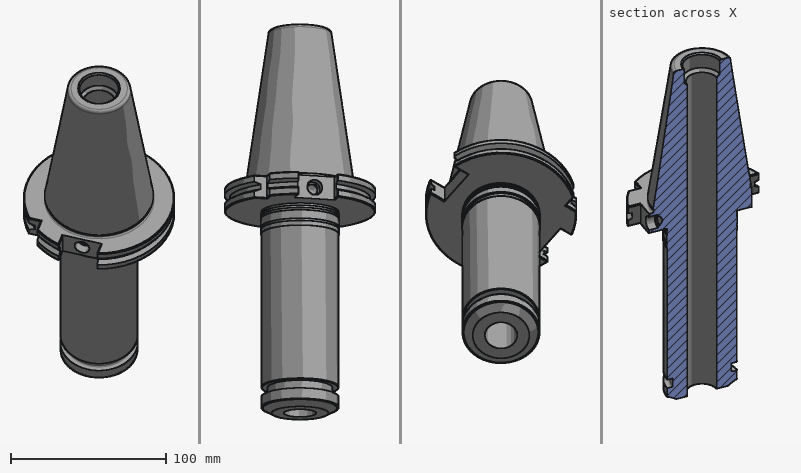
import cadquery as cq
import math

total_height = 253.5
gauge_height = 152.0
flange_top = gauge_height - 3.3
flange_bottom = gauge_height - 18.5

taper_bottom = gauge_height - 1.0
taper_base_diameter = 70.2
taper_ratio = 7 / 24
top_diameter = taper_base_diameter - taper_ratio * (total_height - taper_bottom)
top_fillet = 2.3
relief_diameter = 69.0
relief_fillet = 0.96

flange_diameter = 97.5
edge_chamfer = 0.63
match_tolerance = 0.03
groove_floor_diameter = 90.8
groove_floor_width = 3.0
groove_mouth_width = 6.3
groove_height = (flange_top + flange_bottom) / 2

slot_width = 25.5
front_slot_distance = 37.8
back_slot_distance = 35.5
notch_distance = 30.2

slot_hole_diameter = 7.0
slot_hole_counterbore_diameter = 10.0
slot_hole_counterbore_depth = 6.3
slot_hole_depth = 7.5
drill_point_angle = 118

shank_diameter = 50.0
ring_diameter = 50.5
ring_spans = [(130.4, 131.9), (123.2, 128.8), (118.7, 121.7)]

nose_groove_diameter = 42.0
nose_groove_bottom = 10.7
nose_groove_top = 16.7
nose_groove_fillet = 0.5
body_end_chamfer = 0.5
nose_cone_height = 3.3
nose_cone_diameter = 48.0
nose_face_diameter = 36.5

bore_diameter = 20.8
counterbore_diameter = 25.0
counterbore_depth = 11.2
counterbore_chamfer = 1.0


def cylinder(diameter, bottom, top):
    return cq.Workplane("XY").workplane(offset=bottom).circle(diameter / 2).extrude(top - bottom)


def cone(bottom_diameter, top_diameter, bottom, top):
    outline = [(0, bottom), (bottom_diameter / 2, bottom), (top_diameter / 2, top), (0, top)]
    return cq.Workplane("XZ").polyline(outline).close().revolve(360, (0, 0), (0, 1))


def make_taper():
    taper = cone(taper_base_diameter, top_diameter, taper_bottom, total_height)
    return taper.faces(">Z").edges().fillet(top_fillet)


def make_relief():
    neck_radius = relief_diameter / 2
    arc_radius = relief_fillet
    arc_reach = arc_radius * (1 - math.sqrt(0.5))
    outline = cq.Workplane("XZ").moveTo(0, flange_top).lineTo(neck_radius + arc_radius, flange_top)
    outline = outline.threePointArc(
        (neck_radius + arc_reach, flange_top + arc_reach),
        (neck_radius, flange_top + arc_radius),
    )
    outline = outline.lineTo(neck_radius, taper_bottom).lineTo(0, taper_bottom).close()
    return outline.revolve(360, (0, 0), (0, 1))


def make_shank():
    shank = cylinder(shank_diameter, nose_groove_top, flange_bottom)
    shank = shank.faces("<Z").edges().chamfer(body_end_chamfer)
    for ring_bottom, ring_top in ring_spans:
        shank = shank.union(cylinder(ring_diameter, ring_bottom, ring_top))
    return shank


def make_nose():
    nose = cylinder(shank_diameter, nose_cone_height, nose_groove_bottom)
    nose = nose.faces("<Z").edges().chamfer(body_end_chamfer)
    nose = nose.union(cylinder(nose_groove_diameter, nose_groove_bottom, nose_groove_top))
    groove_ledge = nose.faces("+Z").faces("<Z")
    nose = groove_ledge.edges(cq.selectors.RadiusNthSelector(0)).fillet(nose_groove_fillet)
    return nose.union(cone(nose_face_diameter, nose_cone_diameter, 0, nose_cone_height))


def make_gripper_groove():
    floor_radius = groove_floor_diameter / 2
    outer_radius = flange_diameter / 2
    floor_half = groove_floor_width / 2
    mouth_half = groove_mouth_width / 2
    outline = [
        (floor_radius, groove_height - floor_half),
        (outer_radius, groove_height - mouth_half),
        (outer_radius, groove_height + mouth_half),
        (floor_radius, groove_height + floor_half),
    ]
    return cq.Workplane("XZ").polyline(outline).close().revolve(360, (0, 0), (0, 1))


def rim_cut(x_min, x_max, y_min, y_max):
    height = flange_top - flange_bottom
    cutter = cq.Workplane("XY").box(x_max - x_min, y_max - y_min, height, centered=False)
    return cutter.translate((x_min, y_min, flange_bottom))


def make_slot_hole():
    radius = slot_hole_diameter / 2
    counterbore_radius = slot_hole_counterbore_diameter / 2
    point_height = radius / math.tan(math.radians(drill_point_angle / 2))
    outline = [
        (0, 0),
        (counterbore_radius, 0),
        (counterbore_radius, slot_hole_counterbore_depth),
        (radius, slot_hole_counterbore_depth),
        (radius, slot_hole_depth),
        (0, slot_hole_depth + point_height),
    ]
    hole = cq.Workplane("XY").polyline(outline).close().revolve(360, (0, 0), (0, 1))
    return hole.translate((0, -front_slot_distance, groove_height))


def is_broken_edge(edge):
    """True for chamfered edges: rim circles, straight wall tops and bottoms, slot mouth corners."""
    if edge.geomType() == "CIRCLE":
        return True
    center = edge.Center()
    on_slot_floor = abs(center.x) < match_tolerance
    at_face = abs(center.z - groove_height) > match_tolerance
    on_rim = math.hypot(center.x, center.y) > flange_diameter / 2 - match_tolerance
    beside_slot = abs(center.x) < slot_width / 2 + match_tolerance
    return (at_face and not on_slot_floor) or (on_rim and beside_slot)


def make_flange():
    rim = flange_diameter / 2
    flange = cylinder(flange_diameter, flange_bottom, flange_top)
    flange = flange.cut(rim_cut(-slot_width / 2, slot_width / 2, -rim, -front_slot_distance))
    flange = flange.cut(rim_cut(-slot_width / 2, slot_width / 2, back_slot_distance, rim))
    flange = flange.cut(rim_cut(-rim, -notch_distance, -rim, -notch_distance))
    broken_edges = [edge for edge in flange.edges().vals() if is_broken_edge(edge)]
    flange = flange.newObject(broken_edges).chamfer(edge_chamfer)
    return flange.cut(make_gripper_groove()).cut(make_slot_hole())


def make_bore():
    counterbore_bottom = total_height - counterbore_depth
    mouth_diameter = counterbore_diameter + 2 * counterbore_chamfer
    bore = cylinder(bore_diameter, 0, total_height)
    bore = bore.union(cylinder(counterbore_diameter, counterbore_bottom, total_height))
    ledge_depth = (counterbore_diameter - bore_diameter) / 2
    ledge = cone(bore_diameter, counterbore_diameter, counterbore_bottom - ledge_depth, counterbore_bottom)
    mouth = cone(counterbore_diameter, mouth_diameter, total_height - counterbore_chamfer, total_height)
    return bore.union(ledge).union(mouth)


body = make_taper().union(make_relief()).union(make_flange())
body = body.union(make_shank()).union(make_nose())
result = body.cut(make_bore())